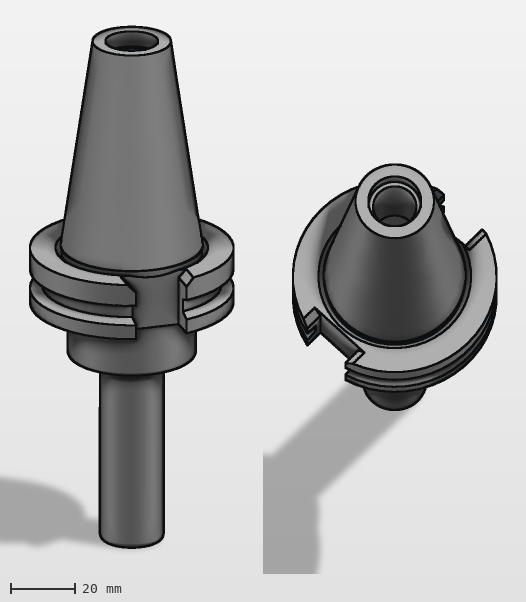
import cadquery as cq
import math

total_length = 166.2

taper_length = 68.3
taper_large_diameter = 44.4
taper_ratio = 7 / 24
taper_small_diameter = taper_large_diameter - taper_ratio * taper_length
taper_base_z = total_length - taper_length

flange_diameter = 63.5
flange_top_z = 97.1
flange_bottom_z = 79.0
groove_diameter = 56.0
groove_top_z = 90.1
groove_bottom_z = 83.6
groove_slope_height = 1.25
neck_diameter = 43.9
relief_diameter = 47.5
relief_depth = (relief_diameter - neck_diameter) / 2

slot_width = 16.5
slot_chamfer = 2.5
slot_floor_left = 24.8
slot_floor_right = 22.5

body_diameter = 40.0
body_bottom_z = 62.0
body_edge_radius = 1.0
shoulder_angle = 10.0
shank_diameter = 20.0
shank_blend_radius = 5.0
shank_end_radius = 1.7

counterbore_diameter = 16.5
counterbore_depth = 5.0
bore_diameter = 13.5
bore_depth = 32.0
drill_point_angle = 118.0


def revolve_profile(points):
    """Revolve a closed (radius, z) outline about the Z axis."""
    outline = cq.Workplane("XZ").polyline(points).close()
    return outline.revolve(360, (0, 0, 0), (0, 1, 0))


def make_taper_and_flange():
    taper_radius = taper_large_diameter / 2
    flange_radius = flange_diameter / 2
    groove_radius = groove_diameter / 2
    neck_radius = neck_diameter / 2
    return revolve_profile([
        (0, flange_bottom_z),
        (flange_radius, flange_bottom_z),
        (flange_radius, groove_bottom_z),
        (groove_radius, groove_bottom_z + groove_slope_height),
        (groove_radius, groove_top_z - groove_slope_height),
        (flange_radius, groove_top_z),
        (flange_radius, flange_top_z),
        (relief_diameter / 2, flange_top_z),
        (neck_radius, flange_top_z - relief_depth),
        (neck_radius, taper_base_z),
        (taper_radius, taper_base_z),
        (taper_small_diameter / 2, total_length),
        (0, total_length),
    ])


def make_body_and_shank():
    body_radius = body_diameter / 2
    shank_radius = shank_diameter / 2
    shoulder_drop = (body_radius - shank_radius) * math.tan(math.radians(shoulder_angle))
    shoulder_bottom_z = body_bottom_z - shoulder_drop
    body = revolve_profile([
        (0, 0),
        (shank_radius, 0),
        (shank_radius, shoulder_bottom_z),
        (body_radius, body_bottom_z),
        (body_radius, flange_bottom_z),
        (0, flange_bottom_z),
    ])

    margin = 0.2

    def circle_at(radius, z):
        """Select the circular edge at this radius and height."""
        reach = radius + margin
        lower = (-reach, -reach, z - margin)
        upper = (reach, reach, z + margin)
        return cq.selectors.BoxSelector(lower, upper, boundingbox=True)

    body = body.edges(circle_at(shank_radius, shoulder_bottom_z)).fillet(shank_blend_radius)
    body = body.edges(circle_at(shank_radius, 0)).fillet(shank_end_radius)
    return body.edges(circle_at(body_radius, body_bottom_z)).fillet(body_edge_radius)


def make_drive_slot(floor_distance, side):
    """Full-height flange slot with chamfered upper edges; side is -1 or +1 along X."""
    half_width = slot_width / 2
    mouth_half_width = half_width + slot_chamfer
    chamfer_start_z = flange_top_z - slot_chamfer
    outline = cq.Workplane("YZ").polyline([
        (-half_width, flange_bottom_z),
        (half_width, flange_bottom_z),
        (half_width, chamfer_start_z),
        (mouth_half_width, flange_top_z),
        (-mouth_half_width, flange_top_z),
        (-half_width, chamfer_start_z),
    ]).close()
    slot = outline.extrude(side * flange_diameter / 2)
    return slot.translate((side * floor_distance, 0, 0))


def make_stepped_hole():
    bore_radius = bore_diameter / 2
    counterbore_radius = counterbore_diameter / 2
    ledge_z = total_length - counterbore_depth
    bore_bottom_z = total_length - bore_depth
    point_height = bore_radius / math.tan(math.radians(drill_point_angle / 2))
    return revolve_profile([
        (0, bore_bottom_z - point_height),
        (bore_radius, bore_bottom_z),
        (bore_radius, ledge_z),
        (counterbore_radius, ledge_z),
        (counterbore_radius, total_length),
        (0, total_length),
    ])


result = make_taper_and_flange().union(make_body_and_shank())
result = result.cut(make_drive_slot(slot_floor_left, -1))
result = result.cut(make_drive_slot(slot_floor_right, 1))
result = result.cut(make_stepped_hole())